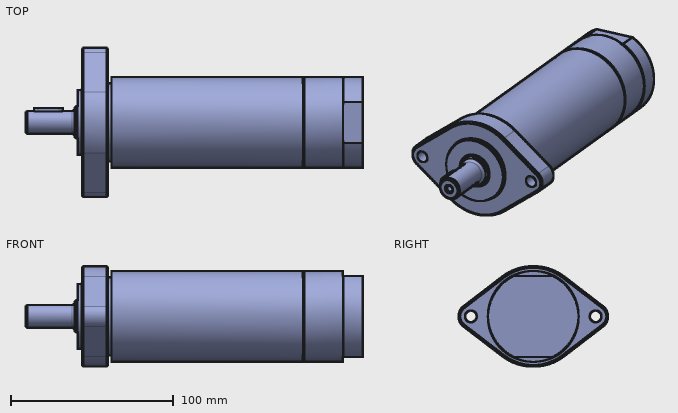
import cadquery as cq
import math

length = 207.3

shaft_radius = 14.0 / 2
shaft_chamfer = 1.0
shaft_end = 28.5
collar_fillet = 1.7
collar_radius = 20.0 / 2
collar_chamfer = 1.0
recess_radius = 21.0 / 2
recess_depth = 1.0

center_radius = 4.0 / 2
center_mouth_radius = 5.5 / 2
center_depth = 7.0
drill_point_angle = 118.0

key_width = 5.0
key_length = 18.0
key_start = 5.0
key_top = 9.0
key_bottom = 5.0

boss_radius = 40.0 / 2
boss_start = 32.0
foot_size = 0.5

flange_start = 34.6
flange_thickness = 16.0
flange_chamfer = 1.0
flange_height = 62.0
flange_width = 92.0
hole_spacing = 76.7
hole_diameter = 7.0

neck_radius = 48.3 / 2
body_radius = 56.0 / 2
body_start = 52.7
joint_start = 170.5
joint_width = 1.0
joint_radius = 48.0 / 2
cap_start = 195.0
cap_groove_width = 0.5
cap_groove_depth = 0.5
cap_across_flats = 50.0

flange_end = flange_start + flange_thickness


def turned_parts():
    """Revolve everything that is round about the X axis, apart from the flange."""
    fillet_end = shaft_end + collar_fillet
    fillet_radius = shaft_radius + collar_fillet
    sag = collar_fillet * math.sqrt(0.5)
    recess_floor = boss_start + recess_depth
    joint_end = joint_start + joint_width
    cap_groove_end = cap_start + cap_groove_width
    cap_groove_radius = body_radius - cap_groove_depth

    profile = (
        cq.Workplane("XY")
        .moveTo(0, 0)
        .lineTo(0, shaft_radius - shaft_chamfer)
        .lineTo(shaft_chamfer, shaft_radius)
        .lineTo(shaft_end, shaft_radius)
        .threePointArc((shaft_end + sag, fillet_radius - sag), (fillet_end, fillet_radius))
        .lineTo(fillet_end, collar_radius - collar_chamfer)
        .lineTo(fillet_end + collar_chamfer, collar_radius)
        .lineTo(recess_floor, collar_radius)
        .lineTo(recess_floor, recess_radius)
        .lineTo(boss_start, recess_radius)
        .lineTo(boss_start, boss_radius)
        .lineTo(flange_start - foot_size, boss_radius)
        .lineTo(flange_start, boss_radius + foot_size)
        .lineTo(flange_end, neck_radius)
        .lineTo(body_start, neck_radius)
        .lineTo(body_start, body_radius)
        .lineTo(joint_start, body_radius)
        .lineTo(joint_start, joint_radius)
        .lineTo(joint_end, joint_radius)
        .lineTo(joint_end, body_radius)
        .lineTo(cap_start, body_radius)
        .lineTo(cap_start, cap_groove_radius)
        .lineTo(cap_groove_end, cap_groove_radius)
        .lineTo(cap_groove_end, body_radius)
        .lineTo(length, body_radius)
        .lineTo(length, 0)
        .close()
    )
    return profile.revolve(360, (0, 0, 0), (1, 0, 0))


def flange():
    """Large central disc blended by tangent lines into a small lobe around each hole."""
    disc_radius = flange_height / 2
    hole_offset = hole_spacing / 2
    lobe_radius = flange_width / 2 - hole_offset
    tangent_y = (disc_radius - lobe_radius) / hole_offset
    tangent_z = math.sqrt(1 - tangent_y**2)
    disc_y = disc_radius * tangent_y
    disc_z = disc_radius * tangent_z
    lobe_y = hole_offset + lobe_radius * tangent_y
    lobe_z = lobe_radius * tangent_z

    plate = (
        cq.Workplane("YZ", origin=(flange_start, 0, 0))
        .moveTo(-disc_y, disc_z)
        .threePointArc((0, disc_radius), (disc_y, disc_z))
        .lineTo(lobe_y, lobe_z)
        .threePointArc((flange_width / 2, 0), (lobe_y, -lobe_z))
        .lineTo(disc_y, -disc_z)
        .threePointArc((0, -disc_radius), (-disc_y, -disc_z))
        .lineTo(-lobe_y, -lobe_z)
        .threePointArc((-flange_width / 2, 0), (-lobe_y, lobe_z))
        .close()
        .extrude(flange_thickness)
        .faces("<X or >X")
        .chamfer(flange_chamfer)
    )
    holes = (
        cq.Workplane("YZ", origin=(flange_start, 0, 0))
        .pushPoints([(-hole_offset, 0), (hole_offset, 0)])
        .circle(hole_diameter / 2)
        .extrude(flange_thickness)
    )
    return plate.cut(holes)


def key():
    return (
        cq.Workplane("XZ", origin=(key_start + key_length / 2, key_top, 0))
        .slot2D(key_length, key_width)
        .extrude(key_top - key_bottom)
    )


def center_drilling():
    """Drilled hole with a 45-degree countersink and a conical bottom."""
    point_length = center_radius / math.tan(math.radians(drill_point_angle / 2))
    return (
        cq.Workplane("XY")
        .moveTo(0, 0)
        .lineTo(0, center_mouth_radius)
        .lineTo(center_mouth_radius - center_radius, center_radius)
        .lineTo(center_depth, center_radius)
        .lineTo(center_depth + point_length, 0)
        .close()
        .revolve(360, (0, 0, 0), (1, 0, 0))
    )


def cap_upper_flat_cut():
    """Block above the end cap whose underside forms the upper of the two parallel flats."""
    return (
        cq.Workplane("XY", origin=(cap_start, 0, cap_across_flats / 2))
        .box(length - cap_start, 2 * body_radius, body_radius, centered=(False, True, False))
    )


upper_flat_cut = cap_upper_flat_cut()

result = (
    turned_parts()
    .union(flange())
    .union(key())
    .cut(center_drilling())
    .cut(upper_flat_cut)
    .cut(upper_flat_cut.mirror("XY"))
)